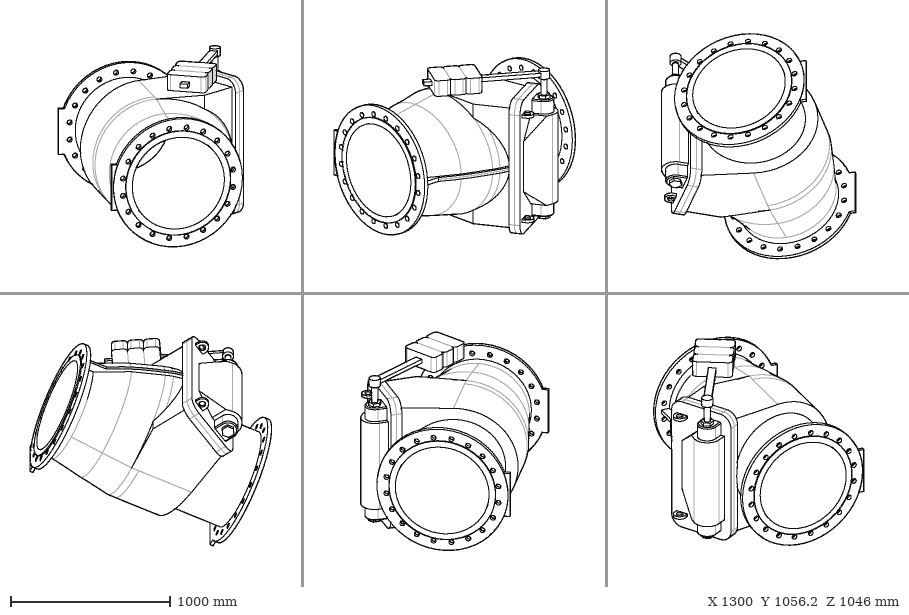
import cadquery as cq
import math


length = 1300
bore_diameter = 600.0
pipe_diameter = 646.0
raised_face_diameter = 682.0
raised_face_thickness = 8.0
flange_diameter = 840.0
flange_thickness = 27.0
bolt_circle_diameter = 725.0
bolt_hole_diameter = 31.0
bolt_count = 20
foot_width = 299
foot_bottom = -430.0
foot_thickness = 22.0

body_radius = 400.0
chamber_start = 437.0
chamber_end = 783.0
chamber_lean = 10
neck_sections = [(655.0, 399.0, 523.0), (733.0, body_radius, 510.0), (chamber_end, body_radius, 495.0)]
reducer_sections = [
    neck_sections[-1],
    (987.0, 364, 426.0),
    (1202.0, pipe_diameter / 2, pipe_diameter / 2),
]
rib_thickness = 26
rib_height = 21.0
rib_flat_start = 1135.0
rib_flat_height = 377

hinge_x = 350.0
hinge_y = 500.0
tilt = 30

plate_start = -139.0
plate_end = 312
plate_half_width = 447.0
plate_corner_radius = 79.0
cover_top = -60.0
cover_thickness = 36.0
neck_end = 282.0
lug_across = 233.0
lug_height = -35.0
lug_radius = 40.0
lug_hole_diameter = 40.0
lug_thickness = 18.0
lug_z = 350.0

housing_radius = 88.0
housing_half_length = 299
bearing_radius = 62.0
bearing_half_length = 390
bearing_chamfer = 8.0
nut_across_flats = 70.0
nut_half_length = 411.0
fairing_tip = 234
fairing_tip_height = cover_top
fairing_drop = 130

shaft_diameter = 40.0
shaft_neck_diameter = 31.0
shaft_neck_length = 8.0
lever_z = 547.0
lever_width = 50.0
lever_thickness = 26
lever_length = 776.0
hub_diameter = 70.0
hub_height = 52
weight_count = 3
weight_start = 422.0
weight_length = 101.0
weight_width = 250.0
weight_height = 104
weight_corner_radius = 25.0

cover_bottom = cover_top - cover_thickness
plates_bottom = cover_bottom - cover_thickness


def cover_point(across, height):
    """XY position of a point given in the tilted cover frame."""
    c = math.cos(math.radians(tilt))
    s = math.sin(math.radians(tilt))
    return (hinge_x + across * c - height * s, hinge_y + across * s + height * c)


def cover_frame(z=0):
    """Workplane parallel to XY at height z, on the hinge axis and turned along the cover."""
    return cq.Workplane("XY", origin=(hinge_x, hinge_y, z)).transformed(rotate=(0, 0, tilt))


def join(*parts):
    """Fuse parts into one, keeping the seams between flush faces."""
    whole = parts[0]
    for part in parts[1:]:
        whole = whole.union(part, clean=False)
    return whole


def disc(x, diameter, thickness):
    """Round bar along the pipe axis."""
    return cq.Workplane("YZ", origin=(x, 0, 0)).circle(diameter / 2).extrude(thickness)


def make_flange(face_x, inward):
    """Flange with raised face, bolt holes and a flat foot; inward is +1 or -1 along X."""
    flange_x = face_x + inward * raised_face_thickness
    inner_x = flange_x + inward * flange_thickness
    flange = disc(flange_x, flange_diameter, inward * flange_thickness)
    foot = (
        cq.Workplane("YZ", origin=(inner_x, 0, 0))
        .center(foot_bottom / 2, 0)
        .rect(-foot_bottom, foot_width)
        .extrude(-inward * foot_thickness)
    )
    holes = (
        cq.Workplane("YZ", origin=(flange_x, 0, 0))
        .polarArray(bolt_circle_diameter / 2, 180 / bolt_count, 360, bolt_count)
        .circle(bolt_hole_diameter / 2)
        .extrude(inward * flange_thickness)
    )
    raised_face = disc(face_x, raised_face_diameter, inward * raised_face_thickness)
    return flange.union(foot).cut(holes).union(raised_face)


def section_wire(x, radius, height):
    """Closed section: half circle below the pipe axis, half ellipse above it."""
    center = cq.Vector(x, 0, 0)
    along_x = cq.Vector(1, 0, 0)
    up = cq.Vector(0, 1, 0)
    side = cq.Vector(0, 0, 1)
    lower = cq.Edge.makeThreePointArc(center + side * radius, center - up * radius, center - side * radius)
    if height > radius:
        upper = cq.Edge.makeEllipse(height, radius, center, along_x, up, -90, 90)
    else:
        upper = cq.Edge.makeThreePointArc(center - side * radius, center + up * radius, center + side * radius)
    return cq.Wire.assembleEdges([lower, upper])


def loft_sections(sections):
    """Straight lofts between neighbouring body sections."""
    lofts = []
    for start, end in zip(sections, sections[1:]):
        wires = [section_wire(*start), section_wire(*end)]
        lofts.append(cq.Workplane(cq.Solid.makeLoft(wires, True)))
    return join(*lofts)


def make_chamber():
    """Flat-sided chamber that rises to the bonnet, with a round underside."""
    lean = math.tan(math.radians(chamber_lean))
    slope = math.tan(math.radians(tilt))
    base_x, base_y = cover_point(0, plates_bottom)
    front_x_at_axis = chamber_start - body_radius * lean
    front_top_x = (front_x_at_axis - lean * (base_y - slope * base_x)) / (1 + lean * slope)
    front_top_y = base_y + slope * (front_top_x - base_x)
    rear_top_x, rear_top_y = cover_point(neck_end, plates_bottom)
    rear_y = rear_top_y - (chamber_end - rear_top_x) / slope
    outline = [
        (chamber_start, -body_radius),
        (front_top_x, front_top_y),
        (rear_top_x, rear_top_y),
        (chamber_end, rear_y),
        (chamber_end, -body_radius),
    ]
    prism = cq.Workplane("XY").polyline(outline).close().extrude(body_radius, both=True)
    sides = cq.Workplane("XY").box(length, rear_top_y, 2 * body_radius, centered=(False, False, True))
    return prism.intersect(disc(0, 2 * body_radius, length).union(sides))


def make_rib():
    """Thin rib along the crest of the body, from the bonnet to the rear flange."""
    crest = [(x, height + rib_height) for x, _, height in neck_sections + reducer_sections[1:2]]
    crest.append((rib_flat_start, rib_flat_height))
    rear_x = length - raised_face_thickness - flange_thickness
    return (
        cq.Workplane("XY")
        .moveTo(*crest[0])
        .spline(crest[1:], includeCurrent=True)
        .lineTo(rear_x, rib_flat_height)
        .lineTo(rear_x, 0)
        .lineTo(crest[0][0], 0)
        .close()
        .extrude(rib_thickness / 2, both=True)
    )


def plate_normal():
    """Direction square to the bonnet plates, pointing away from the body."""
    angle = math.radians(tilt)
    return cq.Vector(-math.sin(angle), math.cos(angle), 0)


def make_plate(bottom):
    """One rounded bonnet plate whose underside is at the given height off the hinge."""
    return (
        cover_frame()
        .center((plate_start + plate_end) / 2, bottom + cover_thickness / 2)
        .box(plate_end - plate_start, cover_thickness, 2 * plate_half_width, combine=False)
        .edges(cq.selectors.ParallelDirSelector(plate_normal()))
        .fillet(plate_corner_radius)
    )


def arched_block(across, height, radius, z_center, thickness):
    """Round-topped block standing on the cover, extruded along Z."""
    return (
        cover_frame(z_center)
        .moveTo(across - radius, cover_bottom)
        .lineTo(across - radius, height)
        .threePointArc((across, height + radius), (across + radius, height))
        .lineTo(across + radius, cover_bottom)
        .close()
        .extrude(thickness / 2, both=True)
    )


def make_lug(z):
    """Lifting lug on the cover."""
    hole = (
        cover_frame(z)
        .center(lug_across, lug_height)
        .circle(lug_hole_diameter / 2)
        .extrude(lug_thickness, both=True)
    )
    return arched_block(lug_across, lug_height, lug_radius, z, lug_thickness).cut(hole)


def make_fairing():
    """Wedge beside the housing; its top runs tangent to the housing and its ends slope inwards."""
    reach = math.hypot(fairing_tip, fairing_tip_height)
    touch = math.atan2(fairing_tip_height, fairing_tip) + math.acos(housing_radius / reach)
    touch_point = (housing_radius * math.cos(touch), housing_radius * math.sin(touch))
    profile = [
        (0, 0),
        touch_point,
        (fairing_tip, fairing_tip_height),
        (fairing_tip, cover_bottom),
        (0, cover_bottom),
    ]
    wedge = cover_frame().polyline(profile).close().extrude(housing_half_length, both=True)
    ends = [
        (0, housing_half_length),
        (housing_radius, housing_half_length),
        (fairing_tip, housing_half_length - fairing_drop),
        (fairing_tip, fairing_drop - housing_half_length),
        (housing_radius, -housing_half_length),
        (0, -housing_half_length),
    ]
    across = plate_normal().cross(cq.Vector(0, 0, 1))
    side_plane = cq.Plane(origin=(hinge_x, hinge_y, 0), xDir=across, normal=-plate_normal())
    taper = cq.Workplane(side_plane).polyline(ends).close().extrude(2 * housing_radius, both=True)
    return wedge.intersect(taper)


def make_housing():
    """Hinge housing: main barrel, fairing, end bearings and hexagonal nuts."""
    barrel = arched_block(0, 0, housing_radius, 0, 2 * housing_half_length)
    bearings = arched_block(0, 0, bearing_radius, 0, 2 * bearing_half_length)
    bearings = bearings.faces("|Z").chamfer(bearing_chamfer)
    nuts = (
        cq.Workplane("XY", origin=(hinge_x, hinge_y, 0))
        .polygon(6, nut_across_flats / math.cos(math.radians(30)))
        .extrude(nut_half_length, both=True)
    )
    return barrel.union(make_fairing()).union(bearings).union(nuts)


def make_lever():
    """Shaft, hub, lever bar and the row of counterweights."""
    hub_bottom = lever_z - hub_height / 2
    hinge = cq.Workplane("XY", origin=(hinge_x, hinge_y, 0))
    shaft = hinge.circle(shaft_diameter / 2).extrude(hub_bottom - shaft_neck_length)
    shaft_neck = hinge.circle(shaft_neck_diameter / 2).extrude(hub_bottom)
    hub = hinge.workplane(offset=hub_bottom).circle(hub_diameter / 2).extrude(hub_height)
    along = hinge.transformed(offset=(0, 0, lever_z), rotate=(0, 0, -tilt))
    bar = along.center(lever_length / 2, 0).box(lever_length, lever_width, lever_thickness, combine=False)
    weights = []
    for i in range(weight_count):
        middle = weight_start + (i + 0.5) * weight_length
        weight = along.center(middle, 0).box(weight_length, weight_width, weight_height, combine=False)
        weights.append(weight.edges("|Z").fillet(weight_corner_radius))
    return join(shaft, shaft_neck, hub, bar, *weights)


body = join(
    make_chamber(),
    loft_sections(neck_sections),
    loft_sections(reducer_sections),
    disc(raised_face_thickness, pipe_diameter, length - 2 * raised_face_thickness),
    make_rib(),
    make_flange(0, 1),
    make_flange(length, -1),
    make_plate(cover_bottom),
    make_plate(plates_bottom),
)
body = body.cut(disc(0, bore_diameter, length), clean=False)

result = join(body, make_housing(), make_lug(lug_z), make_lug(-lug_z), make_lever())